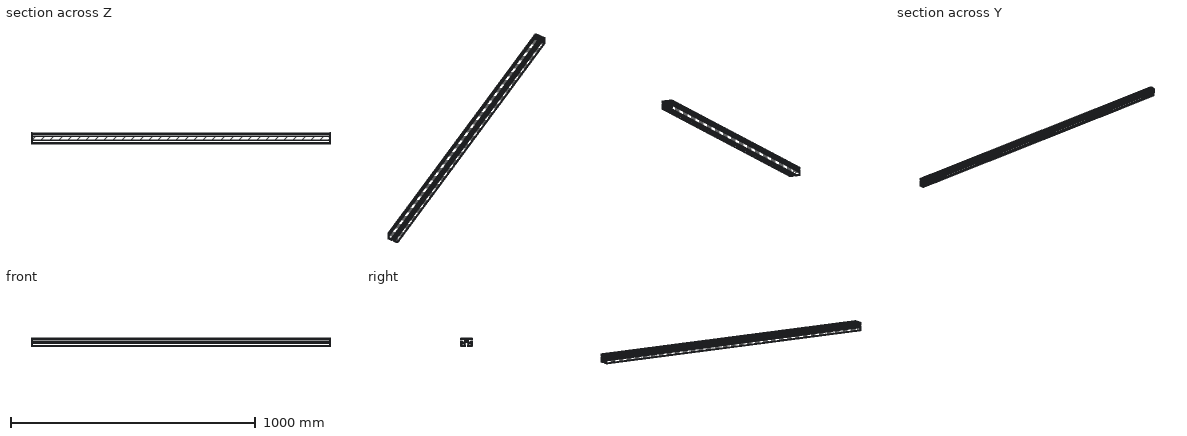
import cadquery as cq

length = 1219.2
width = 45.0
height = 32.0
corner_radius = 2.5

slot_opening = 8.2
slot_lip = 4.0
slot_throat_width = 12.6
slot_throat_depth = 4.7
slot_cavity_width = 13.6
slot_cavity_depth = 13.5
slot_floor_width = 8.2
slot_depth = 15.4
side_slot_height = width / 2

core_bore_diameter = 6.8

top_wall = 2.5
top_channel_width = 7.8
top_channel_depth = 2.5

chamber_wall = 1.5
chamber_floor = 3.0
chamber_top_height = 13.0
chamber_inner_offset = 8.0
chamber_corner_radius = 5.5


def profile_plane():
    """Plane of the -X end face, with y from the middle and z from the bottom face."""
    return cq.Workplane("YZ", origin=(-length / 2, 0, -height / 2))


def prism(points):
    """Extrude a closed outline of (y, z) points along the whole length."""
    return profile_plane().polyline(points).close().extrude(length)


def body():
    """Solid bar with rounded long edges."""
    return cq.Workplane("XY").box(length, width, height).edges("|X").fillet(corner_radius)


def slot(place):
    """T-slot cutter; place maps (offset from slot axis, depth) to (y, z)."""
    half = [
        (slot_opening / 2, 0),
        (slot_opening / 2, slot_lip),
        (slot_throat_width / 2, slot_throat_depth),
        (slot_cavity_width / 2, slot_cavity_depth),
        (slot_floor_width / 2, slot_depth),
    ]
    outline = half + [(-offset, depth) for offset, depth in reversed(half)]
    return prism([place(offset, depth) for offset, depth in outline])


def side_slot(side):
    """Slot entering from the +Y (side = 1) or -Y (side = -1) face."""
    return slot(lambda offset, depth: (side * (width / 2 - depth), side_slot_height + offset))


def bottom_slot():
    """Slot entering from the bottom face."""
    return slot(lambda offset, depth: (offset, depth))


def chamber(side):
    """Hollow between a side slot and the bottom slot, rounded at its outer bottom corner."""
    outer = width / 2 - chamber_wall
    outline = [
        (outer, chamber_floor),
        (outer, chamber_top_height),
        (chamber_inner_offset, chamber_top_height),
        (chamber_inner_offset, chamber_floor),
    ]
    hollow = prism([(side * y, z) for y, z in outline])
    outer_bottom_edge = cq.selectors.NearestToPointSelector((0, side * outer, chamber_floor - height / 2))
    return hollow.edges(outer_bottom_edge).fillet(chamber_corner_radius)


def top_channel():
    """V-shaped channel, closed by the top wall."""
    top = height - top_wall
    half_width = top_channel_width / 2
    return prism([(-half_width, top), (half_width, top), (0, top - top_channel_depth)])


def core_bore():
    """Bore on the level of the side slots."""
    return profile_plane().center(0, side_slot_height).circle(core_bore_diameter / 2).extrude(length)


result = body()
for side in (-1, 1):
    result = result.cut(side_slot(side))
    result = result.cut(chamber(side))
result = result.cut(bottom_slot())
result = result.cut(top_channel())
result = result.cut(core_bore())